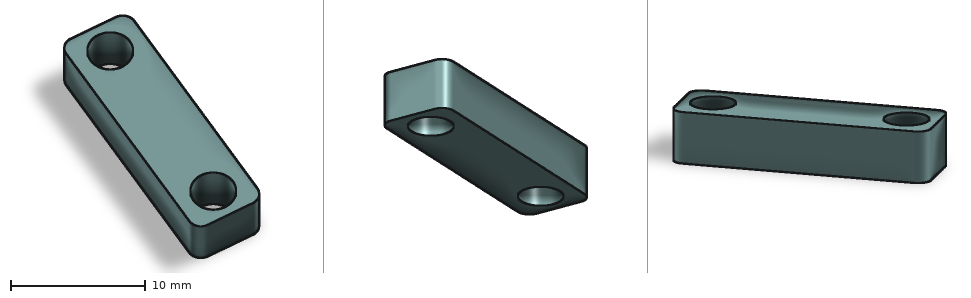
import cadquery as cq

length = 19.93
width = 5.9
height = 4.0
corner_radius = 1.0

hole_diameter = 3.4
hole_spacing = 15.0

bar = (
    cq.Workplane("XY")
    .box(length, width, height)
    .edges("|Z")
    .fillet(corner_radius)
)

result = (
    bar.faces(">Z")
    .workplane()
    .rarray(hole_spacing, 0.2, 2, 1)
    .hole(hole_diameter)
)